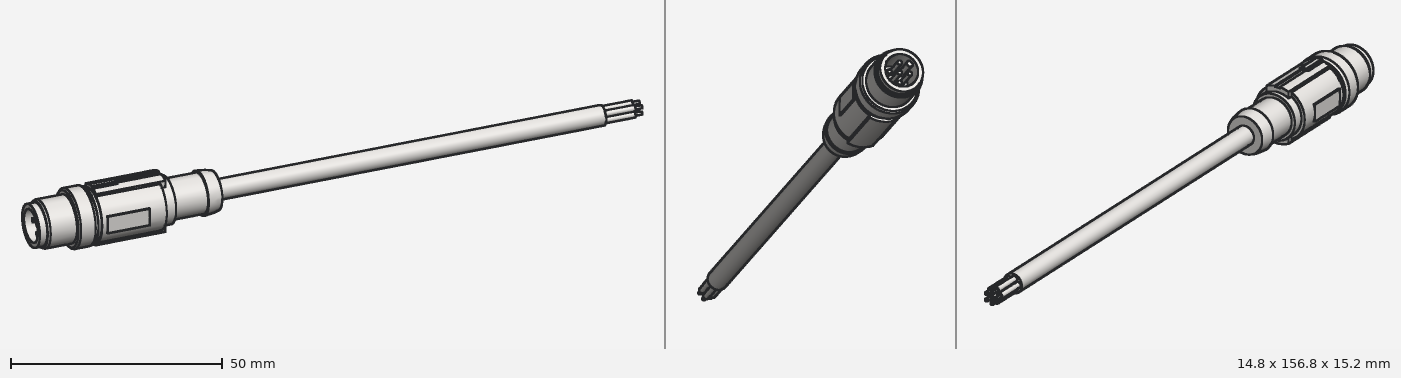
import cadquery as cq
import math


NOSE_END = 1.9
THREAD_START = 2.5
THREAD_END = 9.3
NUT_END = 14.5
NUT_TAPER = 1.0
GRIP_START = 15.4
GRIP_END = 32.0
COLLAR_END = 34.8
NECK_END = 43.5
BOOT_END = 47.2
CABLE_END = 147.0
INSULATION_END = 154.9
WIRE_END = 156.8

NOSE_RADIUS = 5.3
THREAD_RADIUS = 6.0
THREAD_ENTRY_RADIUS = 5.6
NUT_RADIUS = 7.4
NUT_CHAMFER = 0.5
GRIP_RADIUS = 6.9
GROOVE_RADIUS = 6.6
COLLAR_RADIUS = 6.0
NECK_RADIUS = 5.0
BEAD_RADIUS = 5.5
BEAD_MIDDLE_RADIUS = 5.3
BOOT_END_RADIUS = 4.9
CABLE_RADIUS = 2.5

SOCKET_RADIUS = 4.0
SOCKET_DEPTH = 8.6
PIN_RADIUS = 0.55
PIN_PITCH = 2.5
PIN_TIP = 1.5
KEY_TIP = 1.5
KEY_RADIUS = 0.8
KEY_CIRCLE_RADIUS = 3.6
KEY_ANGLE = math.radians(45)

RIB_END = 33.2
RIB_WIDTH = 6.3
RIB_RADIUS = 7.45
SLOT_WIDTH = 1.4
SLOT_DEPTH = 0.3
MARK_END = 21.8
MARK_BASE_WIDTH = 2.5
MARK_TOP_WIDTH = 1.4
MARK_HEIGHT = 7.76

PAD_START = 16.8
PAD_END = 27.6
PAD_WIDTH = 4.4
PAD_FACE = 6.9

WIRE_COUNT = 5
WIRE_CIRCLE_RADIUS = 1.4
INSULATION_RADIUS = 0.8
CONDUCTOR_RADIUS = 0.39


def rod(radius, start, end, x=0.0, z=0.0):
    """Round bar along Y between two stations."""
    return cq.Workplane("XZ", origin=(x, start, z)).circle(radius).extrude(start - end)


def block(width, start, end, bottom, top):
    """Box centred on X = 0, from bottom to top along Z."""
    return cq.Workplane("XY").box(
        width, end - start, top - bottom, centered=(True, False, False)
    ).translate((0, start, bottom))


def cross(pitch):
    """Centre point and four points around it, as (x, z)."""
    return [(0, 0), (pitch, 0), (-pitch, 0), (0, pitch), (0, -pitch)]


def turned_body():
    """Plug, nut, grip, boot and cable revolved about Y."""
    profile = (
        cq.Workplane("XY")
        .moveTo(0, 0)
        .lineTo(NOSE_RADIUS, 0)
        .lineTo(NOSE_RADIUS, NOSE_END)
        .lineTo(THREAD_ENTRY_RADIUS, NOSE_END)
        .lineTo(THREAD_RADIUS, THREAD_START)
        .lineTo(THREAD_RADIUS, THREAD_END)
        .lineTo(NUT_RADIUS - NUT_CHAMFER, THREAD_END)
        .lineTo(NUT_RADIUS, THREAD_END + NUT_CHAMFER)
        .lineTo(NUT_RADIUS, NUT_END - NUT_TAPER)
        .lineTo(GRIP_RADIUS, NUT_END)
        .lineTo(GROOVE_RADIUS, NUT_END)
        .lineTo(GROOVE_RADIUS, GRIP_START)
        .lineTo(GRIP_RADIUS, GRIP_START)
        .lineTo(GRIP_RADIUS, GRIP_END)
        .lineTo(COLLAR_RADIUS, GRIP_END)
        .lineTo(COLLAR_RADIUS, COLLAR_END)
        .lineTo(NECK_RADIUS, COLLAR_END)
        .lineTo(NECK_RADIUS, NECK_END)
        .lineTo(BEAD_RADIUS, NECK_END)
        .threePointArc((BEAD_MIDDLE_RADIUS, (NECK_END + BOOT_END) / 2), (BOOT_END_RADIUS, BOOT_END))
        .lineTo(CABLE_RADIUS, BOOT_END)
        .lineTo(CABLE_RADIUS, CABLE_END)
        .lineTo(0, CABLE_END)
        .close()
    )
    return profile.revolve(360, (0, 0, 0), (0, 1, 0))


def socket():
    """Blind bore in the plug face, less the pins and the round key rib left standing."""
    bore = rod(SOCKET_RADIUS, 0, SOCKET_DEPTH)
    for x, z in cross(PIN_PITCH):
        bore = bore.cut(rod(PIN_RADIUS, PIN_TIP, SOCKET_DEPTH, x, z))
    key_x = KEY_CIRCLE_RADIUS * math.cos(KEY_ANGLE)
    key_z = KEY_CIRCLE_RADIUS * math.sin(KEY_ANGLE)
    return bore.cut(rod(KEY_RADIUS, KEY_TIP, SOCKET_DEPTH, key_x, key_z))


def rib_mark():
    """Raised mark on the upper rib, with sides that lean inwards above the rib."""
    outline = (
        cq.Workplane("XZ", origin=(0, GRIP_START, 0))
        .moveTo(-MARK_BASE_WIDTH / 2, GRIP_RADIUS)
        .lineTo(MARK_BASE_WIDTH / 2, GRIP_RADIUS)
        .lineTo(MARK_BASE_WIDTH / 2, RIB_RADIUS)
        .lineTo(MARK_TOP_WIDTH / 2, MARK_HEIGHT)
        .lineTo(-MARK_TOP_WIDTH / 2, MARK_HEIGHT)
        .lineTo(-MARK_BASE_WIDTH / 2, RIB_RADIUS)
        .close()
    )
    return outline.extrude(GRIP_START - MARK_END)


def grip_ribs():
    """Round-topped ribs above and below the grip; the upper one is marked, and slotted behind the mark."""
    sleeve = rod(RIB_RADIUS, GRIP_START, RIB_END)
    ribs = sleeve.intersect(block(RIB_WIDTH, GRIP_START, RIB_END, -RIB_RADIUS, RIB_RADIUS))
    slot_floor = rod(RIB_RADIUS - SLOT_DEPTH, MARK_END, RIB_END)
    slot = block(SLOT_WIDTH, MARK_END, RIB_END, 0, RIB_RADIUS).cut(slot_floor)
    return ribs.cut(slot).union(rib_mark())


def grip_pads():
    """Bar across the grip whose ends are the flat side pads."""
    return block(2 * PAD_FACE, PAD_START, PAD_END, -PAD_WIDTH / 2, PAD_WIDTH / 2)


def wires():
    """Ring of insulated wires with bare conductor ends, one of them on the -X side."""
    bundle = cq.Workplane("XY")
    for i in range(WIRE_COUNT):
        angle = math.pi + i * 2 * math.pi / WIRE_COUNT
        x = WIRE_CIRCLE_RADIUS * math.cos(angle)
        z = WIRE_CIRCLE_RADIUS * math.sin(angle)
        bundle = bundle.add(rod(INSULATION_RADIUS, CABLE_END, INSULATION_END, x, z))
        bundle = bundle.add(rod(CONDUCTOR_RADIUS, INSULATION_END, WIRE_END, x, z))
    return bundle.combine()


result = turned_body().union(grip_ribs()).union(grip_pads()).cut(socket()).union(wires())